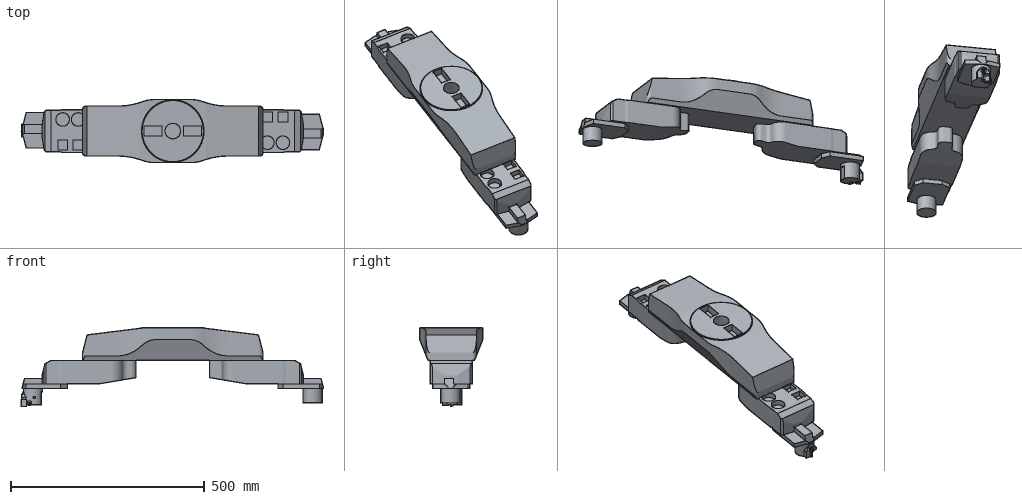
import cadquery as cq
import math


BRIDGE_HALF_LENGTH = 234.0
BRIDGE_TOP = 83.0
BRIDGE_FLAT_HALF = 86.0
FLARE_INFLECTION = 79.0
BRIDGE_END_TOP_HALF = 222.0
BRIDGE_END_TOP = 66.0
BRIDGE_END_FOOT = 19.0
BRIDGE_CORNER_RADIUS = 10.0
ARM_HALF_WIDTH = 65.0
HUB_HALF_WIDTH = 82.0
HUB_SIDE_HALF = 46.0
ARM_SIDE_START = 141.0
FLANK_FOOT_HALF = 60.3
FLANK_TOP = 53.5
HUB_DISC_DIAMETER = 162.0
HUB_DISC_HEIGHT = 2.0
HUB_DISC_CHAMFER = 1.8
HUB_BORE = 40.0
HUB_BORE_DEPTH = 60.0
KEYWAY_LENGTH = 46.5
KEYWAY_WIDTH = 26.0
KEYWAY_DEPTH = 20.0
KEYWAY_CENTRE = 51.5

BLOCK_HALF_WIDTH = 55.5
BLOCK_BOTTOM = -61.3
BLOCK_INNER = -95.0
NOSE_X = -338.5
NOSE_FLAT_HALF = 15.5
NOSE_FACET = (-333.0, 49.0)
NOSE_SIDE = (-328.5, 54.0)
NOSE_STEP_X = (-293.2, -285.5)
NOSE_BEVEL_TOP_X = -315.0
NOSE_BEVEL = (-331.0, -8.7)
NOSE_SLOPE_FOOT = -39.5
TAIL_RAMP_X = -191.0
TAIL_BOTTOM = -45.0
TAIL_ROUND_X = -159.0
TAIL_ROUND_RADIUS = 30.0
TAIL_HOLLOW_RADIUS = 13.0
NECK_START_X = -116.5
NECK_CORNER_RADIUS = 12.0
POCKET_X = (-285.0, -245.0)
ROUND_POCKET_Y = 30.0
ROUND_POCKET_DIAMETER = 35.0
SQUARE_POCKET_Y = -36.5
SQUARE_POCKET_SIDE = 25.5
POCKET_DEPTH = 15.0

PLATE_BOTTOM = -73.0
PLATE_BACK_Y = 48.5
PLATE_FRONT_Y = -44.0
PLATE_TIP_X = -389.8
PLATE_SHOULDER_X = -379.5
TIP_BACK_Y = 8.5
TIP_FRONT_Y = -5.0
PLATE_INNER_X = -272.0
INNER_FRONT_CORNER_X = -290.5
INNER_BACK_CORNER_X = -285.5
INNER_FLAT_HALF = 25.0
RIB_BACK_Y = 17.5
RIB_FRONT_Y = -6.0
RIB_TOP = -47.0
RIB_TOP_END_X = -384.0
RIB_BEVEL_FOOT = -69.5

PIN_X = -362.0
PIN_Y = 2.3
PIN_DIAMETER = 50.0
PIN_BOTTOM = -110.5
HEAD_FLAT_X = -340.5
HEAD_FLAT_TOP = -82.0
HEAD_BOTTOM = -115.5
SEAT_FACE_X = -391.5
SEAT_ROOT_X = -372.0
SEAT_CENTRE_Y = 1.5
SEAT_TOP = -81.0
SEAT_TOP_HALF = 5.0
SEAT_SHOULDER = -96.0
SEAT_HALF = 16.5
SEAT_TOP_SET_BACK = 4.0
SEAT_LEAN_FOOT = -95.0
INSERT_TIP = (-392.58, -120.0)
INSERT_SIDE = 14.0
INSERT_HEIGHT = 19.0
INSERT_FRONT_Y = -1.5
INSERT_THICKNESS = 6.5
INSERT_RELIEF = 2.0
INSERT_SCREW_Z = -93.5
INSERT_SCREW_HEAD = 13.6
INSERT_SCREW_HEAD_LENGTH = 6.0
INSERT_SCREW_SHANK = 8.5
INSERT_SCREW_LENGTH = 20.0
INSERT_SCREW_SOCKET = 6.0
CLAMP_X = -371.0
CLAMP_Z = -110.8
CLAMP_FACE_Y = -22.5
CLAMP_DIAMETER = 12.0
CLAMP_LENGTH = 16.0
CLAMP_SOCKET = 5.0
COOLANT_X = -358.7
COOLANT_Z = -96.3
COOLANT_DIAMETER = 6.0
SOCKET_DEPTH = 4.0
COOLANT_DEPTH = 8.0


def turned(body):
    """The twin of a left-hand body on the right-hand side."""
    return body.rotate((0, 0, 0), (0, 0, 1), 180)


def box_between(x_range, y_range, z_range):
    low = [min(r) for r in (x_range, y_range, z_range)]
    size = [abs(r[1] - r[0]) for r in (x_range, y_range, z_range)]
    return cq.Workplane("XY").box(*size, centered=False).translate(tuple(low))


def bridge_plan():
    """Plan outline, flaring from the arms to the hub with two tangent arcs per corner."""
    run = ARM_SIDE_START - HUB_SIDE_HALF
    rise = HUB_HALF_WIDTH - ARM_HALF_WIDTH
    chord_angle = math.atan2(rise, run)
    arm_radius = (ARM_SIDE_START - FLARE_INFLECTION) / math.sin(2 * chord_angle)
    hub_radius = (FLARE_INFLECTION - HUB_SIDE_HALF) / math.sin(2 * chord_angle)
    inflection_y = ARM_HALF_WIDTH + (ARM_SIDE_START - FLARE_INFLECTION) * rise / run
    mid_run = math.sin(chord_angle)
    mid_rise = 1 - math.cos(chord_angle)
    arm_mid = (ARM_SIDE_START - arm_radius * mid_run, ARM_HALF_WIDTH + arm_radius * mid_rise)
    hub_mid = (HUB_SIDE_HALF + hub_radius * mid_run, HUB_HALF_WIDTH - hub_radius * mid_rise)
    return (
        cq.Workplane("XY")
        .moveTo(BRIDGE_HALF_LENGTH, 0)
        .lineTo(BRIDGE_HALF_LENGTH, ARM_HALF_WIDTH)
        .lineTo(ARM_SIDE_START, ARM_HALF_WIDTH)
        .threePointArc(arm_mid, (FLARE_INFLECTION, inflection_y))
        .threePointArc(hub_mid, (HUB_SIDE_HALF, HUB_HALF_WIDTH))
        .lineTo(-HUB_SIDE_HALF, HUB_HALF_WIDTH)
        .threePointArc((-hub_mid[0], hub_mid[1]), (-FLARE_INFLECTION, inflection_y))
        .threePointArc((-arm_mid[0], arm_mid[1]), (-ARM_SIDE_START, ARM_HALF_WIDTH))
        .lineTo(-BRIDGE_HALF_LENGTH, ARM_HALF_WIDTH)
        .lineTo(-BRIDGE_HALF_LENGTH, 0)
        .mirrorX()
    )


def bridge_side_profile():
    """Long profile: level hub, falling arms and leaning end faces."""
    right_half = [
        (BRIDGE_FLAT_HALF, BRIDGE_TOP),
        (BRIDGE_END_TOP_HALF, BRIDGE_END_TOP),
        (BRIDGE_HALF_LENGTH, BRIDGE_END_FOOT),
        (BRIDGE_HALF_LENGTH, 0),
    ]
    left_half = [(-x, z) for x, z in reversed(right_half)]
    return (
        cq.Workplane("XZ").polyline(right_half + left_half).close()
        .extrude(HUB_HALF_WIDTH, both=True)
    )


def bridge_cross_profile():
    """Cross profile: upright sides over flanks that lean in towards the underside."""
    right_half = [(FLANK_FOOT_HALF, 0), (HUB_HALF_WIDTH, FLANK_TOP), (HUB_HALF_WIDTH, BRIDGE_TOP)]
    left_half = [(-y, z) for y, z in reversed(right_half)]
    return (
        cq.Workplane("YZ").polyline(right_half + left_half).close()
        .extrude(BRIDGE_HALF_LENGTH, both=True)
    )


def make_bridge():
    plan = bridge_plan().extrude(BRIDGE_TOP).edges("|Z and (<X or >X)").fillet(BRIDGE_CORNER_RADIUS)
    body = plan.intersect(bridge_side_profile()).intersect(bridge_cross_profile())
    disc = (
        cq.Workplane("XY").workplane(offset=BRIDGE_TOP)
        .circle(HUB_DISC_DIAMETER / 2).extrude(HUB_DISC_HEIGHT)
        .faces(">Z").chamfer(HUB_DISC_CHAMFER)
    )
    body = body.union(disc)
    body = body.faces(">Z").workplane(origin=(0, 0, 0)).hole(HUB_BORE, HUB_BORE_DEPTH)
    keyways = (
        cq.Workplane("XY").workplane(offset=BRIDGE_TOP + HUB_DISC_HEIGHT)
        .pushPoints([(-KEYWAY_CENTRE, 0), (KEYWAY_CENTRE, 0)])
        .rect(KEYWAY_LENGTH, KEYWAY_WIDTH).extrude(-KEYWAY_DEPTH)
    )
    return body.cut(keyways)


def block_plan():
    """Plan outline: faceted nose, parallel sides and a rounded tail with a narrower neck."""
    turn = math.asin((NECK_START_X - TAIL_ROUND_X) / (TAIL_ROUND_RADIUS + TAIL_HOLLOW_RADIUS))
    round_end = (
        TAIL_ROUND_X + TAIL_ROUND_RADIUS * math.sin(turn),
        BLOCK_HALF_WIDTH - TAIL_ROUND_RADIUS * (1 - math.cos(turn)),
    )
    neck_half = round_end[1] - TAIL_HOLLOW_RADIUS * (1 - math.cos(turn))
    return (
        cq.Workplane("XY")
        .moveTo(NOSE_X, 0)
        .lineTo(NOSE_X, NOSE_FLAT_HALF)
        .lineTo(*NOSE_FACET)
        .lineTo(*NOSE_SIDE)
        .lineTo(NOSE_STEP_X[0], NOSE_SIDE[1])
        .lineTo(NOSE_STEP_X[1], BLOCK_HALF_WIDTH)
        .lineTo(TAIL_ROUND_X, BLOCK_HALF_WIDTH)
        .radiusArc(round_end, TAIL_ROUND_RADIUS)
        .radiusArc((NECK_START_X, neck_half), -TAIL_HOLLOW_RADIUS)
        .lineTo(BLOCK_INNER - NECK_CORNER_RADIUS, neck_half)
        .radiusArc((BLOCK_INNER, neck_half - NECK_CORNER_RADIUS), NECK_CORNER_RADIUS)
        .lineTo(BLOCK_INNER, 0)
        .mirrorX()
    )


def block_side_profile():
    outline = [
        (NOSE_BEVEL_TOP_X, 0),
        NOSE_BEVEL,
        (NOSE_X, NOSE_SLOPE_FOOT),
        (NOSE_X, BLOCK_BOTTOM),
        (TAIL_RAMP_X, BLOCK_BOTTOM),
        (BLOCK_INNER, TAIL_BOTTOM),
        (BLOCK_INNER, 0),
    ]
    return cq.Workplane("XZ").polyline(outline).close().extrude(BLOCK_HALF_WIDTH, both=True)


def make_block():
    body = block_plan().extrude(BLOCK_BOTTOM).intersect(block_side_profile())
    round_places = [(x, ROUND_POCKET_Y) for x in POCKET_X]
    square_places = [(x, SQUARE_POCKET_Y) for x in POCKET_X]
    top = cq.Workplane("XY")
    round_pockets = top.pushPoints(round_places).circle(ROUND_POCKET_DIAMETER / 2).extrude(-POCKET_DEPTH)
    square_pockets = (
        top.pushPoints(square_places)
        .rect(SQUARE_POCKET_SIDE, SQUARE_POCKET_SIDE).extrude(-POCKET_DEPTH)
    )
    rib_groove = box_between(
        (NOSE_X, PLATE_INNER_X), (RIB_FRONT_Y, RIB_BACK_Y), (BLOCK_BOTTOM, RIB_TOP)
    )
    return body.cut(round_pockets).cut(square_pockets).cut(rib_groove)


def make_plate():
    outline = [
        (PLATE_TIP_X, TIP_FRONT_Y),
        (PLATE_TIP_X, TIP_BACK_Y),
        (PLATE_SHOULDER_X, PLATE_BACK_Y),
        (INNER_BACK_CORNER_X, PLATE_BACK_Y),
        (PLATE_INNER_X, INNER_FLAT_HALF),
        (PLATE_INNER_X, -INNER_FLAT_HALF),
        (INNER_FRONT_CORNER_X, PLATE_FRONT_Y),
        (PLATE_SHOULDER_X, PLATE_FRONT_Y),
    ]
    plate = (
        cq.Workplane("XY").workplane(offset=PLATE_BOTTOM)
        .polyline(outline).close().extrude(BLOCK_BOTTOM - PLATE_BOTTOM)
    )
    rib = box_between(
        (PLATE_TIP_X, PLATE_INNER_X), (RIB_FRONT_Y, RIB_BACK_Y), (BLOCK_BOTTOM, RIB_TOP)
    )
    end_bevel = (
        cq.Workplane("XZ")
        .polyline([(PLATE_TIP_X, RIB_BEVEL_FOOT), (RIB_TOP_END_X, RIB_TOP), (PLATE_TIP_X, RIB_TOP)])
        .close().extrude(PLATE_BACK_Y, both=True)
    )
    return plate.union(rib).cut(end_bevel)


def make_pin():
    return (
        cq.Workplane("XY").workplane(offset=PLATE_BOTTOM)
        .center(PIN_X, PIN_Y).circle(PIN_DIAMETER / 2).extrude(PIN_BOTTOM - PLATE_BOTTOM)
    )


def make_insert():
    """Upright cutting plate with relieved sides, its cutting face towards -Y."""
    tip_x, tip_z = INSERT_TIP
    return (
        cq.Workplane("XZ", origin=(0, INSERT_FRONT_Y, 0))
        .center(tip_x + INSERT_SIDE / 2, tip_z + INSERT_HEIGHT / 2)
        .rect(INSERT_SIDE, INSERT_HEIGHT)
        .workplane(offset=-INSERT_THICKNESS)
        .rect(INSERT_SIDE - 2 * INSERT_RELIEF, INSERT_HEIGHT - 2 * INSERT_RELIEF)
        .loft(combine=True)
    )


def insert_screw_blank():
    start = cq.Workplane("YZ", origin=(SEAT_FACE_X, SEAT_CENTRE_Y, INSERT_SCREW_Z))
    head = start.circle(INSERT_SCREW_HEAD / 2).extrude(INSERT_SCREW_HEAD_LENGTH)
    shank = start.circle(INSERT_SCREW_SHANK / 2).extrude(INSERT_SCREW_LENGTH)
    return head.union(shank)


def make_insert_screw():
    socket = (
        cq.Workplane("YZ", origin=(SEAT_FACE_X, SEAT_CENTRE_Y, INSERT_SCREW_Z))
        .polygon(6, INSERT_SCREW_SOCKET).extrude(SOCKET_DEPTH)
    )
    return insert_screw_blank().cut(socket)


def insert_seat():
    """Bell-shaped pad on the outer side of the head that carries the insert and its screw."""
    half = [(SEAT_TOP_HALF, SEAT_TOP), (SEAT_HALF, SEAT_SHOULDER), (SEAT_HALF, HEAD_BOTTOM)]
    outline = half + [(-y, z) for y, z in reversed(half)]
    pad = (
        cq.Workplane("YZ", origin=(SEAT_FACE_X, SEAT_CENTRE_Y, 0))
        .polyline(outline).close().extrude(SEAT_ROOT_X - SEAT_FACE_X)
    )
    lean = (
        cq.Workplane("XZ")
        .polyline([
            (SEAT_FACE_X, SEAT_LEAN_FOOT),
            (SEAT_FACE_X + SEAT_TOP_SET_BACK, SEAT_TOP),
            (SEAT_FACE_X, SEAT_TOP),
        ])
        .close().extrude(PIN_DIAMETER, both=True)
    )
    return pad.cut(lean)


def make_head(insert):
    barrel = (
        cq.Workplane("XY").workplane(offset=PLATE_BOTTOM)
        .center(PIN_X, PIN_Y).circle(PIN_DIAMETER / 2).extrude(HEAD_BOTTOM - PLATE_BOTTOM)
    )
    inner_flat = box_between(
        (HEAD_FLAT_X, PIN_X + PIN_DIAMETER),
        (PIN_Y - PIN_DIAMETER, PIN_Y + PIN_DIAMETER),
        (HEAD_BOTTOM, HEAD_FLAT_TOP),
    )
    clamp_face = cq.Workplane("XZ", origin=(CLAMP_X, CLAMP_FACE_Y, CLAMP_Z))
    clamp = clamp_face.circle(CLAMP_DIAMETER / 2).extrude(-CLAMP_LENGTH)
    clamp_socket = clamp_face.polygon(6, CLAMP_SOCKET).extrude(-SOCKET_DEPTH)
    coolant_hole = (
        cq.Workplane("XZ", origin=(COOLANT_X, PIN_Y - PIN_DIAMETER / 2, COOLANT_Z))
        .circle(COOLANT_DIAMETER / 2).extrude(-COOLANT_DEPTH)
    )
    tip_x, tip_z = INSERT_TIP
    chip_space = box_between(
        (SEAT_FACE_X, tip_x + INSERT_SIDE),
        (INSERT_FRONT_Y, PIN_Y - PIN_DIAMETER / 2),
        (HEAD_BOTTOM, tip_z + INSERT_HEIGHT),
    )
    body = barrel.cut(inner_flat).union(insert_seat()).cut(chip_space)
    body = body.union(clamp).cut(clamp_socket).cut(coolant_hole)
    return body.cut(insert).cut(insert_screw_blank())


bridge = make_bridge()
block = make_block()
plate = make_plate()
balance_pin = turned(make_pin())
insert = make_insert()
insert_screw = make_insert_screw()
head = make_head(insert)

bodies = [bridge.val()]
for left_body in (block, plate):
    for body in (left_body, turned(left_body)):
        bodies.append(body.val())
bodies += [balance_pin.val(), head.val(), insert.val(), insert_screw.val()]
result = cq.Compound.makeCompound(bodies)